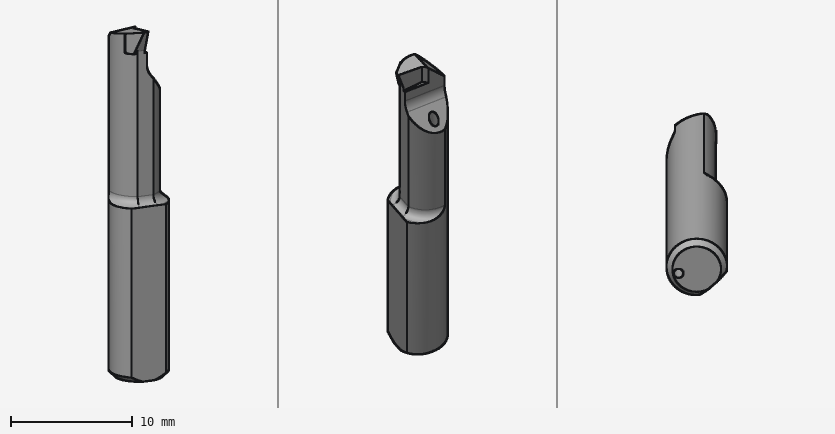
import cadquery as cq
import math


TOTAL_LENGTH = 30.0
SHANK_RADIUS = 2.5
SHANK_FLAT_X = 1.95
BASE_CHAMFER = 0.5

NECK_HALF_WIDTH = 2.12
NECK_ROUND_RADIUS = 2.5
NECK_ROUND_X = -0.95
NECK_FLAT_X = 1.3
SHOULDER_Z = 15.0
SHOULDER_FILLET = 0.75

TIP_FACE_Y = 0.14
RUNOUT_Z = 26.45
RUNOUT_ANGLE = 50.0
RUNOUT_FILLET = 1.5

NOSE_X = 1.85
NOSE_Y = 0.0
NOSE_BASE_Z = 28.0
NOSE_BASE_X = 1.22
FLANK_START_X = 0.68
FLANK_STEP = 0.08
FLANK_END_Y = -0.36
FLANK_CORNER_FILLET = 0.15

TOP_SLOPE_X = math.tan(math.radians(7.0))
TOP_SLOPE_Y = math.tan(math.radians(6.0))
BEVEL_BASE_Z = 28.0
BEVEL_SLOPE_X = 1.04
BEVEL_SLOPE_Y = 0.075

RAKE_BACK_X = -0.97
RAKE_LOW_POINT = (-0.55, -0.2)
RAKE_BASE_Z = 28.0

COOLANT_DIAMETER = 0.8
COOLANT_CENTER = (-0.75, 1.35)

REACH = 2 * SHANK_RADIUS


def make_shank():
    shank = cq.Workplane("XY").circle(SHANK_RADIUS).extrude(TOTAL_LENGTH)
    shank = shank.faces("<Z").chamfer(BASE_CHAMFER)
    keep = cq.Workplane("XY").box(REACH, 2 * REACH, TOTAL_LENGTH, centered=(False, True, False))
    return shank.intersect(keep.translate((SHANK_FLAT_X - REACH, 0, 0)))


def neck_round_y(x):
    """Half width of the neck at a given X."""
    center_y = NECK_HALF_WIDTH - NECK_ROUND_RADIUS
    return center_y + math.sqrt(NECK_ROUND_RADIUS**2 - (x - NECK_ROUND_X) ** 2)


def make_neck_envelope():
    """Block wider than the shank below the shoulder, with the neck section above it."""
    base = cq.Workplane("XY").rect(2 * REACH, 2 * REACH).extrude(SHOULDER_Z)
    back_x = 2 * NECK_ROUND_X - NECK_FLAT_X
    corner_y = neck_round_y(NECK_FLAT_X)
    neck = (
        cq.Workplane("XY", origin=(0, 0, SHOULDER_Z))
        .moveTo(back_x, corner_y)
        .threePointArc((NECK_ROUND_X, NECK_HALF_WIDTH), (NECK_FLAT_X, corner_y))
        .lineTo(NECK_FLAT_X, -corner_y)
        .threePointArc((NECK_ROUND_X, -NECK_HALF_WIDTH), (back_x, -corner_y))
        .close()
        .extrude(TOTAL_LENGTH - SHOULDER_Z)
    )
    inside = REACH * 0.9
    foot = cq.selectors.BoxSelector(
        (-inside, -inside, SHOULDER_Z - SHOULDER_FILLET),
        (inside, inside, SHOULDER_Z + SHOULDER_FILLET),
    )
    return base.union(neck).edges(foot).fillet(SHOULDER_FILLET)


def make_nose():
    flank_start_y = -neck_round_y(FLANK_START_X) - FLANK_STEP
    plan = [
        (FLANK_START_X, TIP_FACE_Y),
        (FLANK_START_X, flank_start_y),
        (NOSE_X, FLANK_END_Y),
        (NOSE_X, TIP_FACE_Y),
    ]
    prism = (
        cq.Workplane("XY", origin=(0, 0, NOSE_BASE_Z))
        .polyline(plan)
        .close()
        .extrude(TOTAL_LENGTH - NOSE_BASE_Z)
    )
    lower_corner = cq.selectors.NearestToPointSelector((FLANK_START_X, flank_start_y / 2, NOSE_BASE_Z))
    prism = prism.edges(lower_corner).fillet(FLANK_CORNER_FILLET)
    side_relief = (
        cq.Workplane("XZ")
        .polyline([(NOSE_X, TOTAL_LENGTH), (NOSE_BASE_X, NOSE_BASE_Z), (NOSE_X, NOSE_BASE_Z)])
        .close()
        .extrude(REACH, both=True)
    )
    return prism.cut(side_relief)


def make_half_cut():
    run = REACH
    rise = run * math.tan(math.radians(RUNOUT_ANGLE))
    cutter = (
        cq.Workplane("YZ")
        .polyline([
            (TIP_FACE_Y, TOTAL_LENGTH),
            (TIP_FACE_Y, RUNOUT_Z),
            (TIP_FACE_Y + run, RUNOUT_Z - rise),
            (TIP_FACE_Y + run, TOTAL_LENGTH),
        ])
        .close()
        .extrude(REACH, both=True)
    )
    corner = cq.selectors.NearestToPointSelector((0, TIP_FACE_Y, RUNOUT_Z))
    return cutter.edges(corner).fillet(RUNOUT_FILLET)


def make_rake_pocket():
    plan = [
        RAKE_LOW_POINT,
        (NOSE_X, NOSE_Y),
        (REACH, NOSE_Y),
        (REACH, TIP_FACE_Y),
        (RAKE_BACK_X, TIP_FACE_Y),
    ]
    return (
        cq.Workplane("XY", origin=(0, 0, RAKE_BASE_Z))
        .polyline(plan)
        .close()
        .extrude(TOTAL_LENGTH - RAKE_BASE_Z)
    )


def make_space_above(point, slope_x, slope_y):
    """Block filling the space above the plane through a point with the given slopes."""
    plane = cq.Plane(origin=point, xDir=(1, 0, slope_x), normal=(-slope_x, -slope_y, 1))
    return cq.Workplane(plane).rect(4 * REACH, 4 * REACH).extrude(2 * REACH)


def make_coolant_hole():
    return (
        cq.Workplane("XY")
        .center(*COOLANT_CENTER)
        .circle(COOLANT_DIAMETER / 2)
        .extrude(TOTAL_LENGTH)
    )


result = make_shank().intersect(make_neck_envelope())
result = result.union(make_nose())
result = result.cut(make_half_cut())
result = result.cut(make_rake_pocket())
result = result.cut(make_space_above((NOSE_X, NOSE_Y, TOTAL_LENGTH), TOP_SLOPE_X, TOP_SLOPE_Y))
result = result.cut(
    make_space_above((-SHANK_RADIUS, TIP_FACE_Y, BEVEL_BASE_Z), BEVEL_SLOPE_X, BEVEL_SLOPE_Y)
)
result = result.cut(make_coolant_hole())